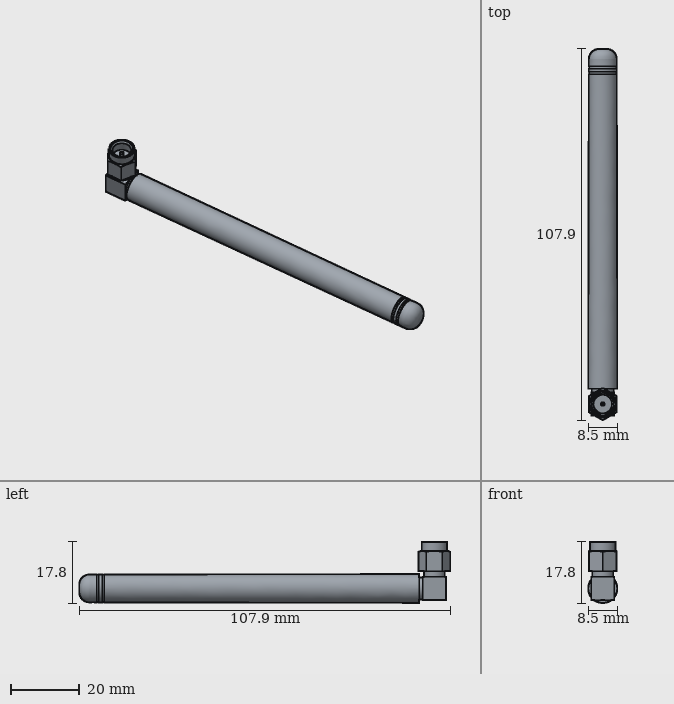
import cadquery as cq

base_diameter = 8.5
tip_diameter = 8.2
antenna_axis_z = base_diameter / 2
rod_start_y = 4.4
tip_radius = 3.0
groove_width = 0.6
groove_depth = 0.1
groove_tip_offsets = (5.1, 6.7)
rod_neck_diameter = 6.5

block_side = 6.8
neck_diameter = 6.1
hex_across_flats = 8.1
hex_across_corners = hex_across_flats / (3 ** 0.5 / 2)
hex_bottom_z = 9.3
hex_top_z = 15.2
hex_bevel_diameter = 7.8
hex_bevel_drop = 0.3
collar_diameter = 7.4
connector_top_z = 17.8
bore_diameter = 5.4
mouth_diameter = 6.5
bore_depth = 3.2
pin_diameter = 1.1
pin_height = 1.9
pin_tip_chamfer = 0.4

total_length = 107.9
tip_y = total_length - hex_across_corners / 2


def rod_along_y(diameter, start_y, end_y):
    """Cylinder on the antenna axis."""
    plane = cq.Plane(origin=(0, start_y, antenna_axis_z), xDir=(1, 0, 0), normal=(0, 1, 0))
    return cq.Workplane(plane).circle(diameter / 2).extrude(end_y - start_y)


def post_along_z(diameter, bottom_z, top_z):
    """Cylinder on the connector axis."""
    return cq.Workplane("XY", origin=(0, 0, bottom_z)).circle(diameter / 2).extrude(top_z - bottom_z)


def rod_diameter_at(y):
    """Diameter of the tapered rod at a place along its length."""
    return base_diameter + (tip_diameter - base_diameter) * (y - rod_start_y) / (tip_y - rod_start_y)


def make_antenna():
    """Tapered, round-tipped rod with grooves and a neck into the elbow."""
    base_plane = cq.Plane(origin=(0, rod_start_y, antenna_axis_z), xDir=(1, 0, 0), normal=(0, 1, 0))
    rod = (
        cq.Workplane(base_plane)
        .circle(base_diameter / 2)
        .workplane(offset=tip_y - rod_start_y)
        .circle(tip_diameter / 2)
        .loft(ruled=True)
        .faces(">Y")
        .edges("%CIRCLE")
        .fillet(tip_radius)
    )
    for offset in groove_tip_offsets:
        end_y = tip_y - offset
        start_y = end_y - groove_width
        core = rod_along_y(rod_diameter_at(end_y) - 2 * groove_depth, start_y, end_y)
        rod = rod.cut(rod_along_y(base_diameter, start_y, end_y).cut(core))
    neck = rod_along_y(rod_neck_diameter, 0, rod_start_y)
    return rod.union(neck)


def make_connector():
    """Neck, hexagonal nut and open collar with a pointed centre pin."""
    neck = post_along_z(neck_diameter, antenna_axis_z, hex_bottom_z)
    nut = (
        cq.Workplane("XY", origin=(0, 0, hex_bottom_z))
        .transformed(rotate=(0, 0, 90))
        .polygon(6, hex_across_corners)
        .extrude(hex_top_z - hex_bottom_z)
    )
    bevel_envelope = (
        post_along_z(hex_across_corners, hex_bottom_z, hex_top_z)
        .faces(">Z")
        .chamfer(hex_bevel_drop, (hex_across_corners - hex_bevel_diameter) / 2)
    )
    nut = nut.intersect(bevel_envelope)
    collar = post_along_z(collar_diameter, hex_top_z, connector_top_z)
    bore_floor_z = connector_top_z - bore_depth
    pin_top_z = bore_floor_z + pin_height
    bore = post_along_z(bore_diameter, bore_floor_z, connector_top_z)
    mouth_depth = (mouth_diameter - bore_diameter) / 2
    mouth = (
        cq.Workplane("XY", origin=(0, 0, connector_top_z - mouth_depth))
        .circle(bore_diameter / 2)
        .workplane(offset=mouth_depth)
        .circle(mouth_diameter / 2)
        .loft(ruled=True)
    )
    pin = post_along_z(pin_diameter, bore_floor_z, pin_top_z).faces(">Z").chamfer(pin_tip_chamfer)
    return neck.union(nut).union(collar).cut(bore).cut(mouth).union(pin)


elbow = cq.Workplane("XY", origin=(0, 0, antenna_axis_z)).box(block_side, block_side, block_side)
result = elbow.union(make_antenna()).union(make_connector())